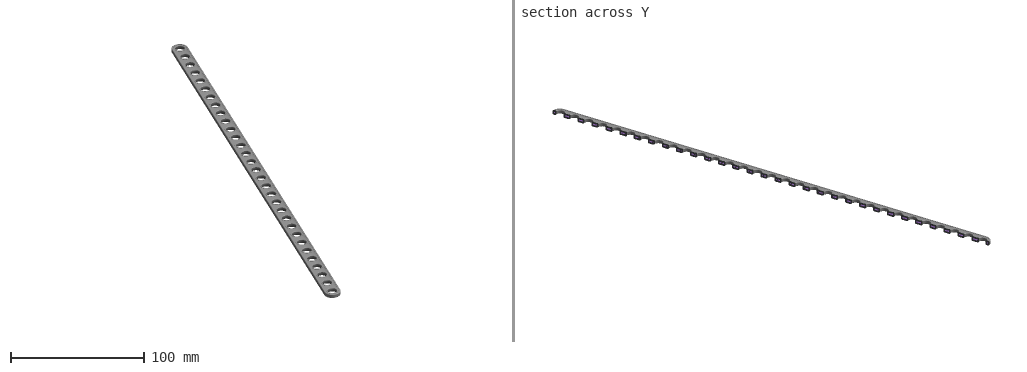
import cadquery as cq

pitch = 12.5
hole_count = 31
thickness = 3.12
hole_diameter = 7.0
collar_diameter = 9.2
edge_chamfer = 0.3
recess_depth = 0.2

width = pitch
length = hole_count * pitch
rim_width = (collar_diameter - hole_diameter) / 2
floor_z = thickness - recess_depth
first_hole_x = -(hole_count - 1) * pitch / 2
hole_centers = [(first_hole_x + i * pitch, 0) for i in range(hole_count)]


def recess_plane():
    """Workplane at the level of the recess floor."""
    return cq.Workplane("XY").workplane(offset=floor_z)


def make_perforated_strip():
    """Full-round bar with a row of through holes, chamfered on both faces."""
    strip = cq.Workplane("XY").slot2D(length, width).extrude(thickness)
    holes = cq.Workplane("XY").pushPoints(hole_centers).circle(hole_diameter / 2).extrude(thickness)
    return strip.cut(holes).faces("<Z or >Z").edges().chamfer(edge_chamfer)


def make_collars():
    """Discs covering each hole and the collar of material left standing around it."""
    return recess_plane().pushPoints(hole_centers).circle(collar_diameter / 2).extrude(recess_depth)


def make_recess():
    """Shallow recess in the top face, inside the rim and between the collars."""
    area = recess_plane().slot2D(length - 2 * rim_width, width - 2 * rim_width).extrude(recess_depth)
    return area.cut(make_collars())


result = make_perforated_strip().cut(make_recess())